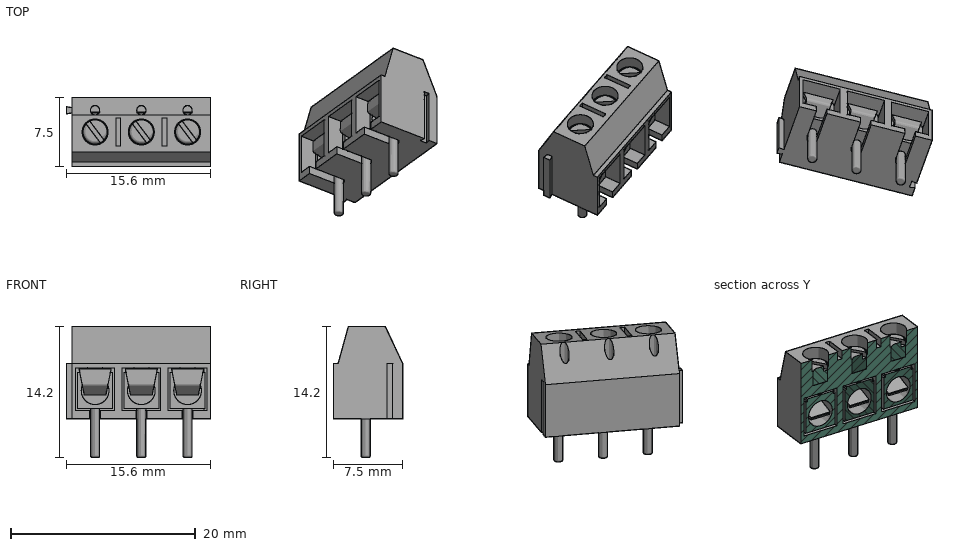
import cadquery as cq
import math


poles = 3
rail_depth = 0.6
housing_length = 15.6 - rail_depth
housing_depth = 7.5
housing_height = 10.0
base_height = 5.99
front_ledge = 0.5
front_setback = 1.6
back_setback = 1.89

pitch = housing_length / poles
pole_positions = [(i - (poles - 1) / 2) * pitch for i in range(poles)]

rail_y = housing_depth - 1.4
rail_root_width = 0.6
rail_tip_width = 0.8

cavity_width = 4.2
cavity_floor = 0.9
cavity_top = 5.5
back_wall = 0.86
cavity_back = housing_depth - back_wall
pin_slot_width = 1.19
groove_wall = 0.15

separator_width = 0.5
separator_length = 3.0
separator_depth = 1.0
probe_radius = 0.5
probe_y = rail_y

screw_y = housing_depth / 2
access_radius = 1.4
head_radius = 1.31
head_height = 2.0
head_round = 0.3
head_top = housing_height - 1.2
head_bottom = head_top - head_height
shank_radius = 0.81
drive_slot_width = 0.5
drive_slot_depth = 0.62
drive_slot_angle = -53

block_width = 3.79
block_front = 1.73
block_bottom = 1.1
block_top = 5.02
wire_radius = 1.5
wire_z = 3.04
pin_y = 3.5
pin_radius = 0.5
pin_tip_z = -4.2
pin_round = 0.2
block_depth = 2 * (pin_y - block_front)

guard_thickness = 0.35
guard_top = block_top + guard_thickness
guard_back = 5.9
guard_chamfer_run = 0.11
guard_chamfer_drop = 0.19
guard_upper_radius = 0.44
guard_panel_angle = math.radians(9.5)
guard_arm_angle = math.radians(14)
guard_bend_y = 1.39
guard_bend_z = 3.73
guard_end_z = 2.56
guard_top_width = 3.46
guard_end_width = 2.34


def box(x_range, y_range, z_range):
    """Box between the given pairs of limits."""
    (x0, x1), (y0, y1), (z0, z1) = x_range, y_range, z_range
    return cq.Workplane("XY").box(x1 - x0, y1 - y0, z1 - z0, centered=False).translate((x0, y0, z0))


def cylinder(x, y, radius, z0, z1):
    """Upright cylinder between two heights."""
    return cq.Workplane("XY", origin=(x, y, z0)).circle(radius).extrude(z1 - z0)


def dovetail(root_x):
    """Upright dovetail bar that widens towards -X from its root."""
    tip_x = root_x - rail_depth
    return (
        cq.Workplane("XY")
        .moveTo(root_x, rail_y - rail_root_width / 2)
        .lineTo(root_x, rail_y + rail_root_width / 2)
        .lineTo(tip_x, rail_y + rail_tip_width / 2)
        .lineTo(tip_x, rail_y - rail_tip_width / 2)
        .close()
        .extrude(base_height)
    )


def wire_compartment(x):
    """Space for one terminal block, with the slot its pin slides in through."""
    half_width = cavity_width / 2
    cavity = box((x - half_width, x + half_width), (0, cavity_back), (cavity_floor, cavity_top))
    half_slot = pin_slot_width / 2
    slot = box((x - half_slot, x + half_slot), (0, pin_y), (0, cavity_floor))
    slot_end = cylinder(x, pin_y, half_slot, 0, cavity_floor)
    return cavity.union(slot).union(slot_end)


def screw_opening(x):
    """Stepped hole: wide access bore, conical seat, head bore and shank hole."""
    seat_z = head_top - head_round
    seat_height = access_radius - head_radius
    return (
        cq.Workplane("XZ")
        .moveTo(0, cavity_top)
        .lineTo(shank_radius, cavity_top)
        .lineTo(shank_radius, head_bottom)
        .lineTo(head_radius, head_bottom)
        .lineTo(head_radius, seat_z)
        .lineTo(access_radius, seat_z + seat_height)
        .lineTo(access_radius, housing_height)
        .lineTo(0, housing_height)
        .close()
        .revolve(360, (0, 0, 0), (0, 1, 0))
        .translate((x, screw_y, 0))
    )


def make_housing():
    left = -housing_length / 2
    right = housing_length / 2
    body = (
        cq.Workplane("YZ", origin=(left, 0, 0))
        .moveTo(0, 0)
        .lineTo(housing_depth, 0)
        .lineTo(housing_depth, base_height)
        .lineTo(housing_depth - back_setback, housing_height)
        .lineTo(front_setback, housing_height)
        .lineTo(front_ledge, base_height)
        .lineTo(0, base_height)
        .close()
        .extrude(housing_length)
    )

    for x in pole_positions:
        body = body.cut(wire_compartment(x))
        body = body.cut(screw_opening(x))
        body = body.cut(cylinder(x, probe_y, probe_radius, cavity_floor, housing_height))

    for x in pole_positions[:-1]:
        middle = x + pitch / 2
        body = body.cut(
            box(
                (middle - separator_width / 2, middle + separator_width / 2),
                (screw_y - separator_length / 2, screw_y + separator_length / 2),
                (housing_height - separator_depth, housing_height),
            )
        )

    corner = box(
        (right - rail_depth - groove_wall, right),
        (rail_y - rail_tip_width / 2 - groove_wall, housing_depth),
        (0, base_height),
    )
    body = body.union(corner)
    return body.cut(dovetail(right)).union(dovetail(left))


def make_screw(x):
    head = cylinder(x, screw_y, head_radius, head_bottom, head_top).faces(">Z").edges().fillet(head_round)
    shank = cylinder(x, screw_y, shank_radius, guard_top, head_bottom)
    drive_slot = (
        cq.Workplane("XY")
        .box(2 * access_radius, drive_slot_width, drive_slot_depth)
        .rotate((0, 0, 0), (0, 0, 1), drive_slot_angle)
        .translate((x, screw_y, head_top - drive_slot_depth / 2))
    )
    return head.union(shank).cut(drive_slot)


def make_guard(x):
    """Bent strip whose width tapers downwards."""
    sin_panel = math.sin(guard_panel_angle)
    cos_panel = math.cos(guard_panel_angle)
    sin_arm = math.sin(guard_arm_angle)
    cos_arm = math.cos(guard_arm_angle)
    bend_radius = guard_thickness

    panel_bottom = (guard_bend_y - bend_radius * cos_panel, guard_bend_z + bend_radius * sin_panel)
    middle_angle = (guard_panel_angle - (math.pi / 2 - guard_arm_angle)) / 2
    bend_middle = (
        guard_bend_y - bend_radius * math.cos(middle_angle),
        guard_bend_z + bend_radius * math.sin(middle_angle),
    )
    arm_start = (guard_bend_y - bend_radius * sin_arm, guard_bend_z - bend_radius * cos_arm)
    arm_end = (arm_start[0] + (arm_start[1] - guard_end_z) / math.tan(guard_arm_angle), guard_end_z)
    arm_end_top = (arm_end[0] + guard_thickness * sin_arm, arm_end[1] + guard_thickness * cos_arm)

    upper_z = guard_top - guard_upper_radius
    panel_top_z = upper_z + guard_upper_radius * sin_panel
    panel_top_y = panel_bottom[0] + (panel_top_z - panel_bottom[1]) * math.tan(guard_panel_angle)
    upper_y = panel_top_y + guard_upper_radius * cos_panel
    upper_middle_angle = (math.pi / 2 + guard_panel_angle) / 2
    upper_inner_radius = guard_upper_radius - guard_thickness

    def on_upper_bend(radius, angle):
        return (upper_y - radius * math.cos(angle), upper_z + radius * math.sin(angle))

    profile = (
        cq.Workplane("YZ", origin=(x - guard_top_width / 2, 0, 0))
        .moveTo(upper_y, guard_top)
        .threePointArc(on_upper_bend(guard_upper_radius, upper_middle_angle), (panel_top_y, panel_top_z))
        .lineTo(*panel_bottom)
        .threePointArc(bend_middle, arm_start)
        .lineTo(*arm_end)
        .lineTo(*arm_end_top)
        .lineTo(guard_bend_y, guard_bend_z)
        .lineTo(*on_upper_bend(upper_inner_radius, guard_panel_angle))
        .threePointArc(on_upper_bend(upper_inner_radius, upper_middle_angle), (upper_y, block_top))
        .lineTo(guard_back, block_top)
        .lineTo(guard_back, guard_top - guard_chamfer_drop)
        .lineTo(guard_back - guard_chamfer_run, guard_top)
        .close()
        .extrude(guard_top_width)
    )
    taper = (
        cq.Workplane("XZ")
        .moveTo(x - guard_top_width / 2, guard_top)
        .lineTo(x + guard_top_width / 2, guard_top)
        .lineTo(x + guard_end_width / 2, guard_end_z)
        .lineTo(x - guard_end_width / 2, guard_end_z)
        .close()
        .extrude(-housing_depth)
    )
    return profile.intersect(taper)


def make_terminal(x):
    """Metal block with its wire hole, solder pin and wire guard."""
    half_width = block_width / 2
    block_back = block_front + block_depth
    block = box((x - half_width, x + half_width), (block_front, block_back), (block_bottom, block_top))
    wire_hole = (
        cq.Workplane("XZ", origin=(x, block_front, wire_z)).circle(wire_radius).extrude(-block_depth)
    )
    pin = cylinder(x, pin_y, pin_radius, pin_tip_z, block_bottom).faces("<Z").edges().fillet(pin_round)
    return block.cut(wire_hole).union(pin).union(make_guard(x))


housing = make_housing()
screws = [make_screw(x) for x in pole_positions]
terminals = [make_terminal(x) for x in pole_positions]

result = cq.Compound.makeCompound(
    [housing.val()] + [screw.val() for screw in screws] + [terminal.val() for terminal in terminals]
)